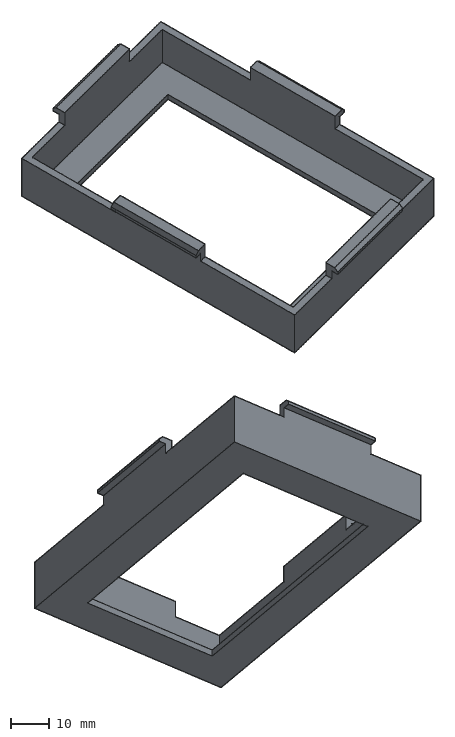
import cadquery as cq

overall_length = 94.0
overall_width = 64.0
overall_height = 20.0

wall = 2.0
floor_thickness = 2.0
ledge_width = 8.0
tray_height = 15.0

clip_length = 28.0
hook_overhang = 2.0
hook_height = 2.0
hook_chamfer = 1.0

tray_length = overall_length - 2 * hook_overhang
tray_width = overall_width - 2 * hook_overhang
cavity_length = tray_length - 2 * wall
cavity_width = tray_width - 2 * wall
window_length = cavity_length - 2 * ledge_width
window_width = cavity_width - 2 * ledge_width


def make_tray():
    """Rectangular tray, its bottom face on Z = 0 and centred on the Z axis."""
    outer = cq.Workplane("XY").rect(tray_length, tray_width).extrude(tray_height)
    cavity = (
        cq.Workplane("XY")
        .workplane(offset=floor_thickness)
        .rect(cavity_length, cavity_width)
        .extrude(tray_height)
    )
    window = cq.Workplane("XY").rect(window_length, window_width).extrude(tray_height)
    return outer.cut(cavity).cut(window)


def make_clip(wall_face):
    """Clip on the +X side whose stem is flush with a wall face at X = wall_face."""
    inner_face = wall_face - wall
    hook_tip = wall_face + hook_overhang
    hook_bottom = overall_height - hook_height
    profile = [
        (inner_face, tray_height),
        (wall_face, tray_height),
        (wall_face, hook_bottom),
        (hook_tip, hook_bottom),
        (hook_tip, overall_height - hook_chamfer),
        (hook_tip - hook_chamfer, overall_height),
        (inner_face, overall_height),
    ]
    return cq.Workplane("XZ").polyline(profile).close().extrude(clip_length / 2, both=True)


end_clip = make_clip(tray_length / 2)
side_clip = make_clip(tray_width / 2)

result = make_tray()
for clip, angle in ((end_clip, 0), (side_clip, 90), (end_clip, 180), (side_clip, 270)):
    result = result.union(clip.rotate((0, 0, 0), (0, 0, 1), angle))